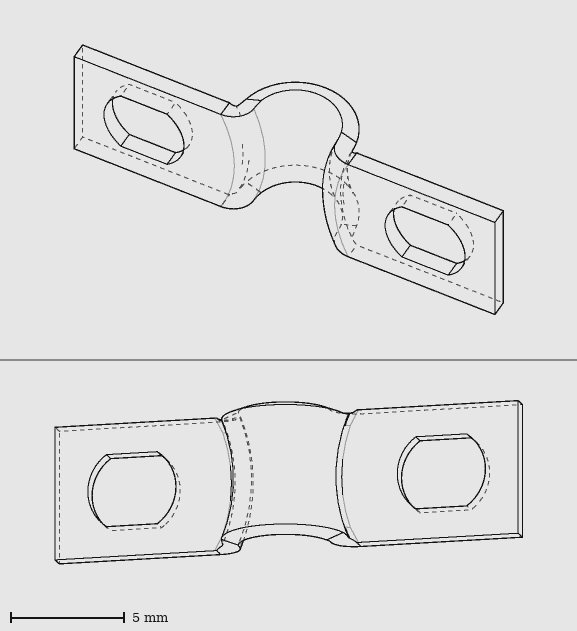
import cadquery as cq
import math

length = 21.0
height = 6.0
thickness = 0.8
throat_radius = 1.5
flare_radius = 8.0
bend_radius = 1.0
corner_depth = 1.58
corner_fillet = 0.45
fill_start_z = 2.25
fill_overlap = 0.13
hole_diameter = 4.0
hole_height = 3.25
hole_offset = 7.01

half_height = height / 2
saddle_y = bend_radius
flare_x = throat_radius + flare_radius
flare_outer_radius = flare_radius - thickness
flange_arc_radius = flare_radius - bend_radius
bend_x = throat_radius + bend_radius
flare_angle = math.asin(half_height / flare_radius)
end_inner_radius = flare_x - flare_radius * math.cos(flare_angle)
end_outer_radius = end_inner_radius + thickness * math.cos(flare_angle)
end_outer_z = half_height - thickness * math.sin(flare_angle)
end_bend_x = flare_x - math.sqrt(flange_arc_radius**2 - half_height**2)
outer_flat_radius = flare_x - math.sqrt(flare_outer_radius**2 - half_height**2)


def half_turn(profile):
    """Revolve an XZ profile about the saddle axis, through the +Y side only."""
    turned = profile.revolve(360, (0, 0, 0), (0, 1, 0))
    keep = cq.Workplane("XY").box(length, length, length).translate((0, length / 2, 0))
    return turned.intersect(keep).translate((0, saddle_y, 0))


def make_saddle():
    """Half of an hourglass-shaped tube with flat ends."""
    profile = (
        cq.Workplane("XZ")
        .moveTo(end_inner_radius, -half_height)
        .threePointArc((throat_radius, 0), (end_inner_radius, half_height))
        .lineTo(outer_flat_radius, half_height)
        .threePointArc((throat_radius + thickness, 0), (outer_flat_radius, -half_height))
        .close()
    )
    return half_turn(profile)


def make_end_cone_cut():
    """Bevel the upper saddle end at right angles to the hourglass curve."""
    reach = 2.0
    tip_radius = end_inner_radius + reach * (end_outer_radius - end_inner_radius)
    tip_z = half_height + reach * (end_outer_z - half_height)
    profile = (
        cq.Workplane("XZ")
        .moveTo(end_inner_radius, half_height)
        .lineTo(tip_radius, tip_z)
        .lineTo(tip_radius, half_height)
        .close()
    )
    beyond_corner = cq.Workplane("XY").box(length, length, length).translate(
        (0, corner_depth + length / 2, 0)
    )
    return half_turn(profile).intersect(beyond_corner)


def make_corner_cut():
    """Lofted cut that fades the upper bevel out around the right-hand bend."""
    reach = 1.2
    last_drop = 0.01
    start_rise = corner_depth - saddle_y
    start_inner = math.sqrt(end_inner_radius**2 - start_rise**2)
    start_outer = math.sqrt(end_outer_radius**2 - start_rise**2)
    start_drop = half_height - end_outer_z
    bend_span_x = end_bend_x - end_inner_radius
    diagonal = math.sqrt(0.5)
    middle_inner = (end_bend_x - bend_span_x * diagonal, saddle_y - bend_radius * diagonal)
    stations = [
        ((start_inner, corner_depth), (start_outer - start_inner, 0), start_drop),
        (middle_inner, (thickness * diagonal, thickness * diagonal), start_drop / 2),
        ((end_bend_x, 0), (0, thickness), last_drop),
    ]
    sections = []
    for (x, y), (across_x, across_y), drop in stations:
        inner = cq.Vector(x, y, half_height)
        outer = inner + cq.Vector(across_x, across_y, 0) * reach
        low = outer - cq.Vector(0, 0, drop * reach)
        sections.append(cq.Wire.makePolygon([inner, outer, low], close=True))
    return cq.Workplane(obj=cq.Solid.makeLoft(sections))


def make_corner_fill():
    """Back fillet at the upper right corner, growing towards the flange's end."""
    section_start = fillet_section(fill_start_z, bend_radius - thickness)
    section_end = fillet_section(half_height, corner_fillet)
    return cq.Workplane(obj=cq.Solid.makeLoft([section_start, section_end]))


def fillet_section(z, radius):
    """Wire filling the corner between the saddle's back and the flange at height z."""
    wall_z = min(z, end_outer_z)
    wall_x = flare_x - math.sqrt(flare_outer_radius**2 - wall_z**2)
    center = (wall_x + radius, thickness + radius)
    diagonal = math.sqrt(0.5)
    section = (
        cq.Workplane("XY", origin=(0, 0, z))
        .moveTo(wall_x - fill_overlap, center[1])
        .lineTo(wall_x, center[1])
        .threePointArc(
            (center[0] - radius * diagonal, center[1] - radius * diagonal), (center[0], thickness)
        )
        .lineTo(center[0], thickness - fill_overlap)
        .lineTo(wall_x - fill_overlap, thickness - fill_overlap)
        .close()
    )
    return section.val()


def make_bend():
    """Quarter-round bend following the hourglass curve beside the right flange."""
    diagonal = math.sqrt(0.5)
    inside_radius = bend_radius - thickness
    profile = (
        cq.Workplane("XY")
        .moveTo(throat_radius, saddle_y)
        .threePointArc(
            (bend_x - bend_radius * diagonal, saddle_y - bend_radius * diagonal), (bend_x, 0)
        )
        .lineTo(bend_x, thickness)
        .threePointArc(
            (bend_x - inside_radius * diagonal, saddle_y - inside_radius * diagonal),
            (throat_radius + thickness, saddle_y),
        )
        .close()
    )
    ring = profile.revolve(360, (flare_x, 0, 0), (flare_x, 1, 0))
    keep = cq.Workplane("XY").box(flare_x, length, height).translate((flare_x / 2, 0, 0))
    return ring.intersect(keep)


def make_flange():
    """Right flange with a curved inner edge and a double-flatted hole."""
    plate = cq.Workplane("XY").box(length / 2, thickness, height, centered=(False, False, True))
    edge = cq.Workplane("XZ").center(flare_x, 0).circle(flange_arc_radius).extrude(-thickness)
    hole = cq.Workplane("XZ").center(hole_offset, 0).circle(hole_diameter / 2).extrude(-thickness)
    flats = cq.Workplane("XY").box(length, length, hole_height)
    return plate.intersect(edge).cut(hole.intersect(flats))


corner_fill = make_corner_fill()
side = make_flange().union(make_bend()).union(corner_fill).union(corner_fill.mirror("XY"))
strap = make_saddle().union(side).union(side.mirror("YZ"))

cone_cut = make_end_cone_cut()
right_corner = make_corner_cut()
for cut in (cone_cut, right_corner, right_corner.mirror("YZ")):
    strap = strap.cut(cut).cut(cut.mirror("XY"))

result = strap